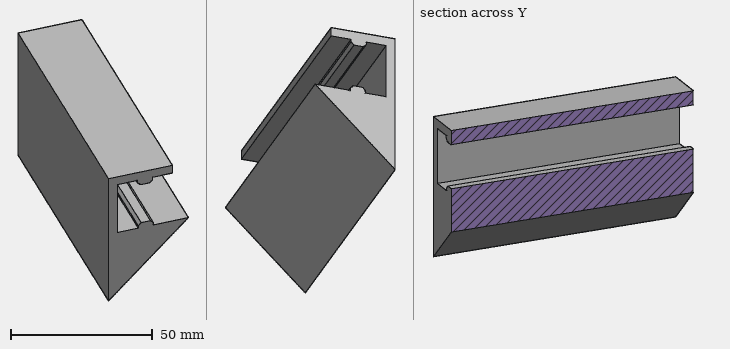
import cadquery as cq

length = 94.0
depth = 30.0
height = 53.0
wall = 3.4
flange_depth = 24.0
slot_height = 20.7

rib_width = 5.7
rib_height = 2.1
rib_chamfer = 1.1
upper_rib_y = 13.7
lower_rib_y = 14.0

slot_top = height - wall
slot_bottom = slot_top - slot_height


def extrude_profile(points):
    """Extrude a closed YZ outline over the full length of the part."""
    return cq.Workplane("YZ").polyline(points).close().extrude(length)


def make_bracket():
    """Upright plate with a top flange and a triangular wedge below the slot."""
    return extrude_profile([
        (0, 0),
        (depth, slot_bottom),
        (wall, slot_bottom),
        (wall, slot_top),
        (flange_depth, slot_top),
        (flange_depth, height),
        (0, height),
    ])


def make_rib(center_y, base_z, direction):
    """Rib with a chamfered crest; direction is +1 to rise from base_z, -1 to hang."""
    half_base = rib_width / 2
    half_crest = half_base - rib_chamfer
    shoulder_z = base_z + direction * (rib_height - rib_chamfer)
    crest_z = base_z + direction * rib_height
    return extrude_profile([
        (center_y - half_base, base_z),
        (center_y - half_base, shoulder_z),
        (center_y - half_crest, crest_z),
        (center_y + half_crest, crest_z),
        (center_y + half_base, shoulder_z),
        (center_y + half_base, base_z),
    ])


upper_rib = make_rib(upper_rib_y, slot_top, -1)
lower_rib = make_rib(lower_rib_y, slot_bottom, 1)

result = make_bracket().union(upper_rib).union(lower_rib)